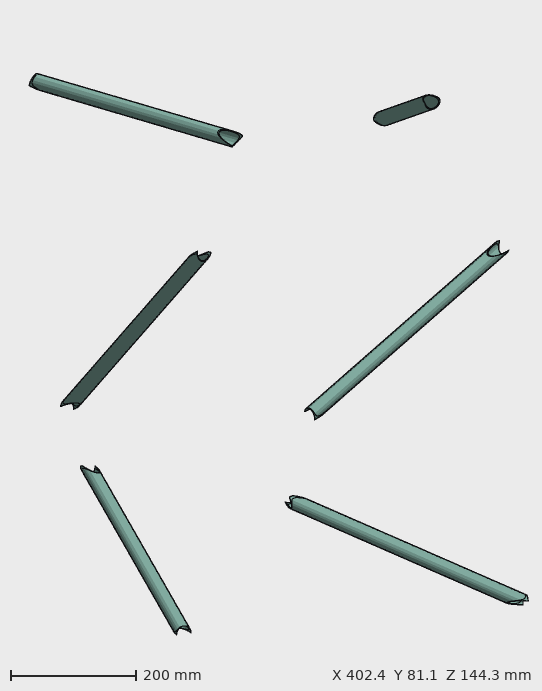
import cadquery as cq
node_span = cq.Vector(400.0, -56.8, 139.4)
tube_radius = 12.5
wall = 1.5
low_node = node_span * -0.5
high_node = node_span * 0.5

low_neighbour = cq.Vector(1.0, -0.12, -0.5)
high_neighbours = [cq.Vector(1.0, 0.02, -0.335), cq.Vector(0.33, -0.09, -1.0)]
neighbour_length = 200.0


def rod(start, direction, length, radius):
    """Solid cylinder whose axis runs from start along direction."""
    return cq.Workplane(cq.Solid.makeCylinder(radius, length, start, direction))


def split_circle(sketch, radius):
    """Circle drawn as two half arcs that meet in the tube's vertical plane."""
    return (
        sketch.moveTo(radius, 0)
        .threePointArc((0, radius), (-radius, 0))
        .threePointArc((0, -radius), (radius, 0))
        .close()
    )


def brace_tube():
    """Open tube from node to node, with its ends still square."""
    side = cq.Vector(0, 0, 1).cross(node_span)
    plane = cq.Plane(origin=low_node, xDir=node_span.cross(side), normal=node_span)
    section = split_circle(cq.Workplane(plane), tube_radius)
    section = split_circle(section, tube_radius - wall)
    return section.extrude(node_span.Length, clean=False)


def cope(tube, node, direction):
    """Notch the tube where a neighbour of the same radius passes through the node."""
    start = node - direction.normalized() * (neighbour_length / 2)
    return tube.cut(rod(start, direction, neighbour_length, tube_radius), clean=False)


result = brace_tube()
result = cope(result, low_node, low_neighbour)
for neighbour in high_neighbours:
    result = cope(result, high_node, neighbour)